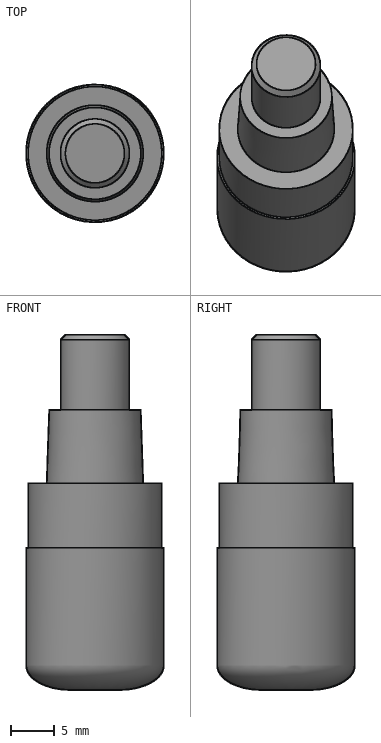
import cadquery as cq

total_height = 41.25
corner_height = 2.9
cap_height = 16.5
collar_top = 24.0
taper_top = 32.5

cap_radius = 8.0
collar_radius = 7.75
taper_base_radius = 5.6
taper_top_radius = 5.32
stud_radius = 4.0

corner_width = 5.2
stud_chamfer = 0.58


def make_cap():
    """Solid cap with a flat bottom and a quarter-ellipse corner."""
    flat_radius = cap_radius - corner_width
    return (
        cq.Workplane("XZ")
        .moveTo(0, cap_height)
        .lineTo(0, 0)
        .lineTo(flat_radius, 0)
        .ellipseArc(
            corner_width,
            corner_height,
            angle1=270,
            angle2=360,
            startAtCurrent=True,
        )
        .lineTo(cap_radius, cap_height)
        .close()
        .revolve(360, (0, 0), (0, 1))
    )


def make_shaft():
    """Stepped shaft on the cap: collar, tapered neck and chamfered stud."""
    return (
        cq.Workplane("XZ")
        .moveTo(0, cap_height)
        .lineTo(collar_radius, cap_height)
        .lineTo(collar_radius, collar_top)
        .lineTo(taper_base_radius, collar_top)
        .lineTo(taper_top_radius, taper_top)
        .lineTo(stud_radius, taper_top)
        .lineTo(stud_radius, total_height - stud_chamfer)
        .lineTo(stud_radius - stud_chamfer, total_height)
        .lineTo(0, total_height)
        .close()
        .revolve(360, (0, 0), (0, 1))
    )


cap = make_cap()
shaft = make_shaft()

result = cq.Compound.makeCompound([cap.val(), shaft.val()])